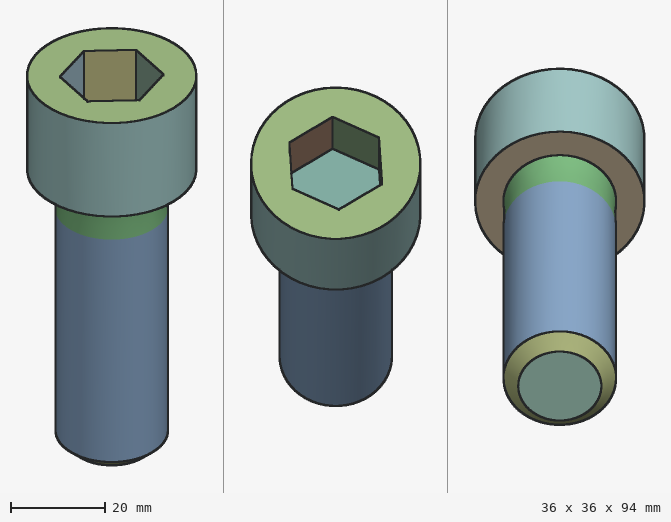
import cadquery as cq
import math

total_length = 94.0
head_diameter = 36.0
head_height = 24.0
shank_diameter = 24.0
shank_length = total_length - head_height

neck_length = 10.1
neck_waist_depth = 0.2

tip_height = 3.0
tip_diameter = 17.7

socket_across_flats = 19.1
socket_across_corners = socket_across_flats / math.cos(math.pi / 6)
socket_depth = 15.0

head_radius = head_diameter / 2
shank_radius = shank_diameter / 2
neck_start = shank_length - neck_length

body = (
    cq.Workplane("XZ")
    .lineTo(tip_diameter / 2, 0)
    .lineTo(shank_radius, tip_height)
    .lineTo(shank_radius, neck_start)
    .threePointArc(
        (shank_radius - neck_waist_depth, neck_start + neck_length / 2),
        (shank_radius, shank_length),
    )
    .lineTo(head_radius, shank_length)
    .lineTo(head_radius, total_length)
    .lineTo(0, total_length)
    .close()
    .revolve(360, (0, 0, 0), (0, 1, 0))
)

socket = (
    cq.Workplane("XY", origin=(0, 0, total_length - socket_depth))
    .polygon(6, socket_across_corners)
    .extrude(socket_depth)
)

result = body.cut(socket)